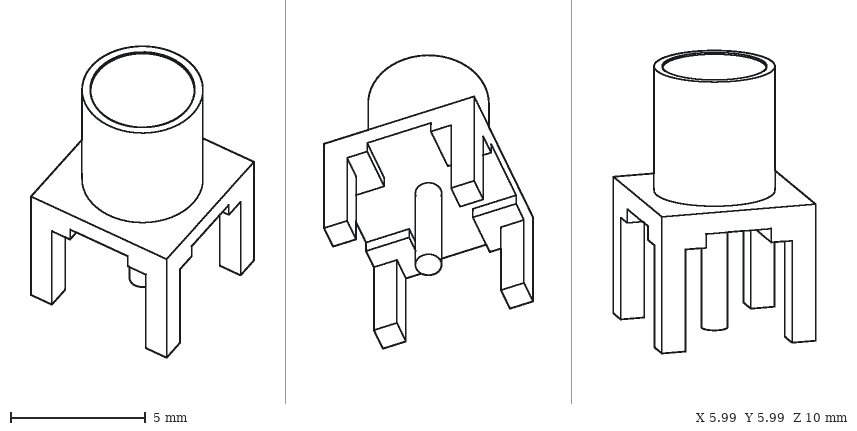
import cadquery as cq

total_height = 10.03
base_width = 5.99

plate_top = 5.26
plate_bottom = 4.45
shoulder_bottom = 3.92
shoulder_width = 1.73
leg_width = 0.92

barrel_diameter = 4.49
recess_mouth_diameter = 3.89
recess_floor_diameter = 3.84
recess_depth = 0.06

pin_diameter = 0.97


def square_post(width, bottom, top):
    """Square block centred on the Z axis."""
    return cq.Workplane("XY").workplane(offset=bottom).rect(width, width).extrude(top - bottom)


def round_post(diameter, bottom, top):
    """Cylinder centred on the Z axis."""
    return cq.Workplane("XY").workplane(offset=bottom).circle(diameter / 2).extrude(top - bottom)


def corner_posts(width, bottom, top):
    """Four square posts flush with the corners of the base."""
    spacing = base_width - width
    return (
        cq.Workplane("XY")
        .workplane(offset=bottom)
        .rect(spacing, spacing, forConstruction=True)
        .vertices()
        .rect(width, width)
        .extrude(top - bottom)
    )


plate = square_post(base_width, plate_bottom, plate_top)
shoulders = corner_posts(shoulder_width, shoulder_bottom, plate_bottom)
legs = corner_posts(leg_width, 0, plate_bottom)
pin = round_post(pin_diameter, 0, plate_bottom)
barrel = round_post(barrel_diameter, plate_top, total_height)
recess = (
    cq.Workplane("XY")
    .workplane(offset=total_height - recess_depth)
    .circle(recess_floor_diameter / 2)
    .workplane(offset=recess_depth)
    .circle(recess_mouth_diameter / 2)
    .loft()
)

result = plate.union(shoulders).union(legs).union(pin).union(barrel).cut(recess)